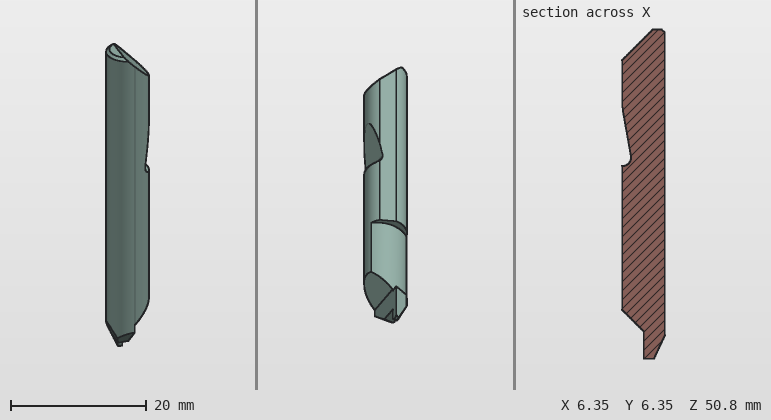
import cadquery as cq
import math

LENGTH = 50.8
RADIUS = 3.175
DIAMETER = 2 * RADIUS

HEAD_TOP = 6.05
SHANK_BOTTOM = 19.05

NECK_LEFT = -2.11
NECK_RADIUS = 4.55

BEVEL_START_Y = -1.35
END_CHAMFER_HEIGHT = 0.4
END_CHAMFER_WIDTH = 0.5

SHANK_FLAT_ANGLES = (0, math.radians(46))
HEAD_FLAT_ANGLES = (0, math.radians(-43))

NOTCH_BOTTOM = 30.7
NOTCH_TOP = 39.5
NOTCH_ANGLE = math.radians(10)
NOTCH_FILLET = 1.2

RUNOUT_LEVEL = 6.3
TIP_DEPTH = 0.5
CLEARANCE_ANGLE = math.radians(25)
TIP_WIDTH = 1.0
TIP_RADIUS = TIP_WIDTH / 2
SHOULDER_LEVEL = 2.25
CORNER_LEVEL = 5.1


def side_prism(points):
    """Prism with a (y, z) outline, running right across the bar along X."""
    return cq.Workplane("YZ").polyline(points).close().extrude(RADIUS, both=True)


def side_flat(angles, bottom, top):
    """Cutter for a flat on the chord between two angles measured round the bar from -X."""
    start, end = [(-RADIUS * math.cos(angle), RADIUS * math.sin(angle)) for angle in angles]
    points = [start, end, (-DIAMETER, end[1]), (-DIAMETER, start[1])]
    base = cq.Workplane("XY").workplane(offset=bottom)
    return base.polyline(points).close().extrude(top - bottom)


def cut_shank_end(body):
    body = body.faces(">Z").edges().chamfer(END_CHAMFER_HEIGHT, END_CHAMFER_WIDTH)
    bevel_drop = RADIUS - BEVEL_START_Y
    bevel = side_prism([
        (BEVEL_START_Y, LENGTH),
        (RADIUS, LENGTH),
        (RADIUS, LENGTH - bevel_drop),
    ])
    return body.cut(side_flat(SHANK_FLAT_ANGLES, SHANK_BOTTOM, LENGTH)).cut(bevel)


def make_notch():
    notch_depth = (NOTCH_TOP - NOTCH_BOTTOM) * math.tan(NOTCH_ANGLE)
    notch_floor = RADIUS - notch_depth
    notch = side_prism([
        (RADIUS, NOTCH_TOP),
        (RADIUS, NOTCH_BOTTOM),
        (notch_floor, NOTCH_BOTTOM),
    ])
    return notch.edges("|X").edges("<Y").fillet(NOTCH_FILLET)


def make_neck_relief():
    """Space outside the offset cylinder, on the -X side of the neck."""
    neck_height = SHANK_BOTTOM - HEAD_TOP
    base = cq.Workplane("XY").workplane(offset=HEAD_TOP)
    limit = base.center(NECK_LEFT + NECK_RADIUS, 0).circle(NECK_RADIUS).extrude(neck_height)
    left_side = base.center(-RADIUS, 0).rect(DIAMETER, 2 * DIAMETER).extrude(neck_height)
    return left_side.cut(limit)


def make_runout():
    """Space behind the rake face, ending in a 45 degree slope."""
    return side_prism([
        (0, 0),
        (0, RUNOUT_LEVEL),
        (RADIUS, RUNOUT_LEVEL + RADIUS),
        (RADIUS, 0),
    ])


def cut_head(body):
    tip_right = -RADIUS + TIP_WIDTH
    corner_cut = CORNER_LEVEL - SHOULDER_LEVEL
    profile = (
        cq.Workplane("XZ")
        .moveTo(-RADIUS, LENGTH)
        .lineTo(-RADIUS, TIP_RADIUS)
        .threePointArc((tip_right - TIP_RADIUS, 0), (tip_right, TIP_RADIUS))
        .lineTo(tip_right, SHOULDER_LEVEL)
        .lineTo(RADIUS - corner_cut, SHOULDER_LEVEL)
        .lineTo(RADIUS, CORNER_LEVEL)
        .lineTo(RADIUS, LENGTH)
        .lineTo(-RADIUS, LENGTH)
        .close()
        .extrude(RADIUS, both=True)
    )
    clearance_top = (RADIUS - TIP_DEPTH) / math.tan(CLEARANCE_ANGLE)
    clearance = side_prism([(-TIP_DEPTH, 0), (-RADIUS, clearance_top), (-RADIUS, 0)])
    return body.intersect(profile).cut(clearance).cut(side_flat(HEAD_FLAT_ANGLES, 0, HEAD_TOP))


bar = cq.Workplane("XY").circle(RADIUS).extrude(LENGTH)
bar = cut_shank_end(bar)
bar = bar.cut(make_notch())
bar = bar.cut(make_neck_relief())
bar = bar.cut(make_runout())
result = cut_head(bar)